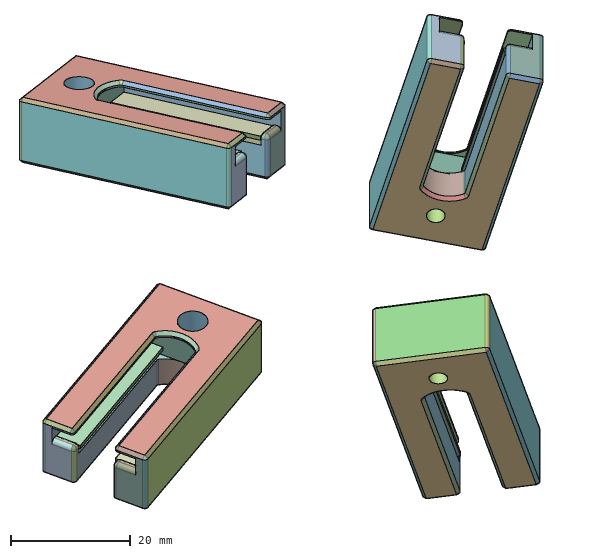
import cadquery as cq
import math

LENGTH = 40.18
WIDTH = 20.0
HEIGHT = 12.0
BEVEL = 0.6
CORNER_RADIUS = 0.65
ARCH_CORNER_RADIUS = 0.4

SLOT_HALF_GAP = 3.6
LIP_HALF_GAP = 3.86
ARCH_X = 10.4
ARCH_RADIUS = 5.3

LIP_THICKNESS = 0.95
CAVITY_FLOOR_Z = 6.25
CAVITY_BACK_Y = 8.0
END_WALL_THICKNESS = 1.39
END_WALL_TOP_Z = 8.22
END_WALL_ROUNDING = 0.8

HOLE_X = 6.22
HOLE_DIAMETER = 3.1
COUNTERBORE_DIAMETER = 5.1
COUNTERBORE_DEPTH = 6.0

STRIP_HALF_GAP = 3.35
STRIP_TOP_Z = 8.02
STRIP_THICKNESS = 0.75

MARGIN = 0.01

cavity_end_x = LENGTH - END_WALL_THICKNESS
lip_bottom_z = HEIGHT - LIP_THICKNESS
arch_center_x = ARCH_X + ARCH_RADIUS


def box_between(x_range, y_range, z_range):
    """Box given by its low and high limits along each axis."""
    size = [high - low for low, high in (x_range, y_range, z_range)]
    corner = (x_range[0], y_range[0], z_range[0])
    return cq.Workplane("XY").box(*size, centered=False).translate(corner)


def fork_layer(half_gap, bottom_z, top_z):
    """Level slice of the fork with rounded upright edges."""
    arch_corner_x = arch_center_x - math.sqrt(ARCH_RADIUS**2 - half_gap**2)
    layer = (
        cq.Workplane("XY", origin=(0, 0, bottom_z))
        .moveTo(LENGTH, half_gap)
        .lineTo(LENGTH, WIDTH / 2)
        .lineTo(0, WIDTH / 2)
        .lineTo(0, -WIDTH / 2)
        .lineTo(LENGTH, -WIDTH / 2)
        .lineTo(LENGTH, -half_gap)
        .lineTo(arch_corner_x, -half_gap)
        .threePointArc((ARCH_X, 0), (arch_corner_x, half_gap))
        .close()
        .extrude(top_z - bottom_z)
    )
    arch_corners = cq.selectors.BoxSelector(
        (arch_corner_x - MARGIN, -half_gap - MARGIN, bottom_z),
        (arch_corner_x + MARGIN, half_gap + MARGIN, top_z),
    )
    layer = layer.edges("|Z").edges(arch_corners).fillet(ARCH_CORNER_RADIUS)
    outer_corners = layer.edges("|Z and (<X or >X)")
    return outer_corners.fillet(CORNER_RADIUS)


def arm_box(side, x_range, inner_y, z_range):
    """Box in one arm (side is 1 or -1) reaching from inner_y to the back of the cavity."""
    y_range = sorted((side * inner_y, side * CAVITY_BACK_Y))
    return box_between(x_range, y_range, z_range)


def cut_cavity(body, side):
    """Recess one arm below the lip, and open the recess through the arm tip above the end wall."""
    pocket = arm_box(side, (ARCH_X, cavity_end_x), 0, (CAVITY_FLOOR_Z, lip_bottom_z))
    tip_opening = arm_box(side, (cavity_end_x, LENGTH), 0, (END_WALL_TOP_Z, lip_bottom_z))
    return body.cut(pocket).cut(tip_opening)


def round_end_walls(body):
    """Round the top of both end walls along the arm tip and into the slot."""
    tip_edges = cq.selectors.BoxSelector(
        (LENGTH - MARGIN, -CAVITY_BACK_Y, END_WALL_TOP_Z - MARGIN),
        (LENGTH + MARGIN, CAVITY_BACK_Y, END_WALL_TOP_Z + MARGIN),
    )
    return body.edges(tip_edges).fillet(END_WALL_ROUNDING)


def build_body():
    main = fork_layer(SLOT_HALF_GAP, 0, lip_bottom_z).faces("<Z").chamfer(BEVEL)
    lip = fork_layer(LIP_HALF_GAP, lip_bottom_z, HEIGHT).faces(">Z").chamfer(BEVEL)
    body = main.union(lip)
    for side in (-1, 1):
        body = cut_cavity(body, side)
    body = round_end_walls(body)
    hole_plane = body.faces(">Z").workplane(origin=(HOLE_X, 0, HEIGHT))
    return hole_plane.cboreHole(HOLE_DIAMETER, COUNTERBORE_DIAMETER, COUNTERBORE_DEPTH)


def build_strip(side):
    z_range = (STRIP_TOP_Z - STRIP_THICKNESS, STRIP_TOP_Z)
    return arm_box(side, (ARCH_X, cavity_end_x), STRIP_HALF_GAP, z_range)


body = build_body()
strips = [build_strip(side) for side in (-1, 1)]
result = cq.Compound.makeCompound([body.val(), *[strip.val() for strip in strips]])